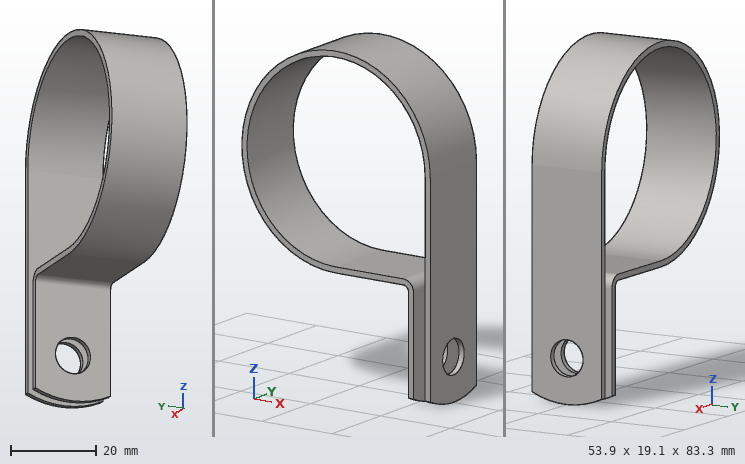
import cadquery as cq
import math

height = 83.3
strap_width = 19.1
thickness = 1.5
loop_diameter = 53.9
leg_gap = 3.25
bend_inner_radius = 1.5
hole_diameter = 8.8
hole_height = 11.1
tip_rise = 2.2

outer_radius = loop_diameter / 2
inner_radius = outer_radius - thickness
loop_z = height - outer_radius
loop_bottom = loop_z - outer_radius
short_leg_outer_x = inner_radius - leg_gap
short_leg_inner_x = short_leg_outer_x - thickness
bend_outer_radius = bend_inner_radius + thickness
bend_x = short_leg_outer_x - bend_outer_radius
bend_z = loop_bottom - bend_inner_radius
half_width = strap_width / 2
diagonal = math.sqrt(0.5)


def bent_strap():
    """Strap profile: long leg, three-quarter loop, flat, bend and short leg."""
    inner_mid = bend_inner_radius * diagonal
    outer_mid = bend_outer_radius * diagonal
    profile = (
        cq.Workplane("XZ")
        .moveTo(outer_radius, 0)
        .lineTo(outer_radius, loop_z)
        .threePointArc((-outer_radius * diagonal, loop_z + outer_radius * diagonal), (0, loop_bottom))
        .lineTo(bend_x, loop_bottom)
        .threePointArc((bend_x + inner_mid, bend_z + inner_mid), (short_leg_inner_x, bend_z))
        .lineTo(short_leg_inner_x, 0)
        .lineTo(short_leg_outer_x, 0)
        .lineTo(short_leg_outer_x, bend_z)
        .threePointArc((bend_x + outer_mid, bend_z + outer_mid), (bend_x, loop_bottom + thickness))
        .lineTo(0, loop_bottom + thickness)
        .threePointArc((-inner_radius * diagonal, loop_z + inner_radius * diagonal), (inner_radius, loop_z))
        .lineTo(inner_radius, 0)
        .close()
    )
    return profile.extrude(half_width, both=True)


def rounded_tip_envelope():
    """Block around the whole strap whose underside is the arc of the leg tips."""
    return (
        cq.Workplane("YZ", origin=(-outer_radius, 0, 0))
        .moveTo(-half_width, tip_rise)
        .threePointArc((0, 0), (half_width, tip_rise))
        .lineTo(half_width, height)
        .lineTo(-half_width, height)
        .close()
        .extrude(loop_diameter)
    )


def bolt_hole():
    """Cylinder along X that passes through both legs."""
    return (
        cq.Workplane("YZ")
        .center(0, hole_height)
        .circle(hole_diameter / 2)
        .extrude(outer_radius)
    )


result = bent_strap().intersect(rounded_tip_envelope()).cut(bolt_hole())